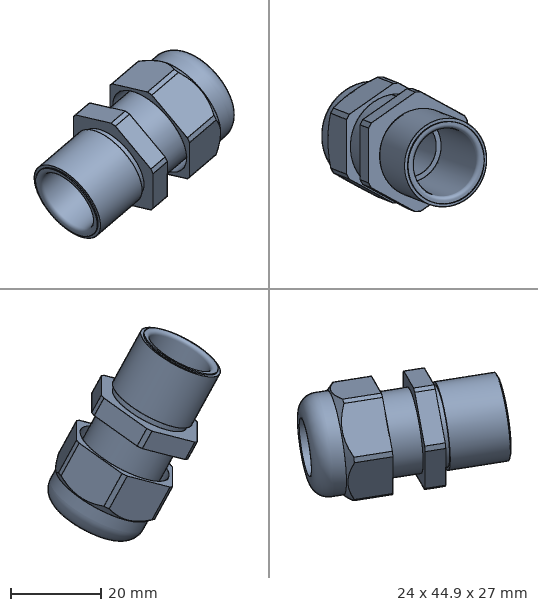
import cadquery as cq
import math


hex_across_flats = 24.0
hex_across_corners = 27.0
half_hex_step = 360 / 6 / 2

total_length = 44.9
pilot_length = 0.3
thread_end = 13.95
flange_start = 15.4
flange_end = 20.05
nut_start = 27.4
dome_base = 37.9

thread_diameter = 20.0
neck_diameter = 18.55
barrel_diameter = 19.45
bore_diameter = 15.4
bore_mouth_radius = 0.9

seal_diameter = 16.0
seal_bore_diameter = 13.0

dome_diameter = 23.5
dome_radius = 4.15
nut_bore_diameter = 22.23
dome_opening_diameter = 13.2


def cylinder(diameter, start, end):
    """Solid cylinder on the Y axis between two stations."""
    return cq.Workplane("XZ", origin=(0, start, 0)).circle(diameter / 2).extrude(start - end)


def hexagon(across_flats, start, end, turn):
    """Hexagonal prism on the Y axis, with a flat on +X turned by an angle."""
    prism = cq.Workplane("XZ", origin=(0, start, 0)).polygon(6, across_flats, circumscribed=True)
    return prism.extrude(start - end).rotate((0, 0, 0), (0, 1, 0), turn)


def bevelled_hexagon(start, end):
    """Wrench hexagon with flats on +X and -X, its six corners cut by a second hexagon."""
    flats = hexagon(hex_across_flats, start, end, 0)
    corner_bevels = hexagon(hex_across_corners, start, end, half_hex_step)
    return flats.intersect(corner_bevels)


def make_gland_body():
    body = cylinder(neck_diameter, 0, flange_start)
    body = body.union(cylinder(thread_diameter, pilot_length, thread_end))
    body = body.union(bevelled_hexagon(flange_start, flange_end))
    body = body.union(cylinder(barrel_diameter, flange_end, dome_base))
    body = body.cut(cylinder(bore_diameter, 0, flange_end))
    body = body.cut(cylinder(seal_diameter, flange_end, dome_base))
    bore_mouth = cq.selectors.RadiusNthSelector(0)
    return body.faces("<Y").edges(bore_mouth).fillet(bore_mouth_radius)


def make_seal():
    seal = cylinder(seal_diameter, flange_end, dome_base)
    return seal.cut(cylinder(seal_bore_diameter, flange_end, dome_base))


def make_dome():
    """Rounded end of the cap nut: one arc runs over the crest and dips into the opening."""
    outer_radius = dome_diameter / 2
    opening_radius = dome_opening_diameter / 2
    arc_center_radius = outer_radius - dome_radius
    arc_center_y = total_length - dome_radius
    lip_rise = math.sqrt(dome_radius**2 - (arc_center_radius - opening_radius) ** 2)
    profile = (
        cq.Workplane("XY")
        .moveTo(opening_radius, dome_base)
        .lineTo(outer_radius, dome_base)
        .lineTo(outer_radius, arc_center_y)
        .threePointArc((arc_center_radius, total_length), (opening_radius, arc_center_y + lip_rise))
        .close()
    )
    return profile.revolve(360, (0, 0, 0), (0, 1, 0))


def make_cap_nut():
    envelope_diameter = 2 * hex_across_corners - dome_diameter
    chamfer_size = (envelope_diameter - dome_diameter) / 2
    chamfer_envelope = cylinder(envelope_diameter, nut_start, dome_base).faces(">Y").chamfer(chamfer_size)
    nut = bevelled_hexagon(nut_start, dome_base).intersect(chamfer_envelope)

    nut = nut.union(make_dome())
    return nut.cut(cylinder(nut_bore_diameter, nut_start, dome_base))


gland_body = make_gland_body()
seal = make_seal()
cap_nut = make_cap_nut()

result = cq.Compound.makeCompound([gland_body.val(), seal.val(), cap_nut.val()])